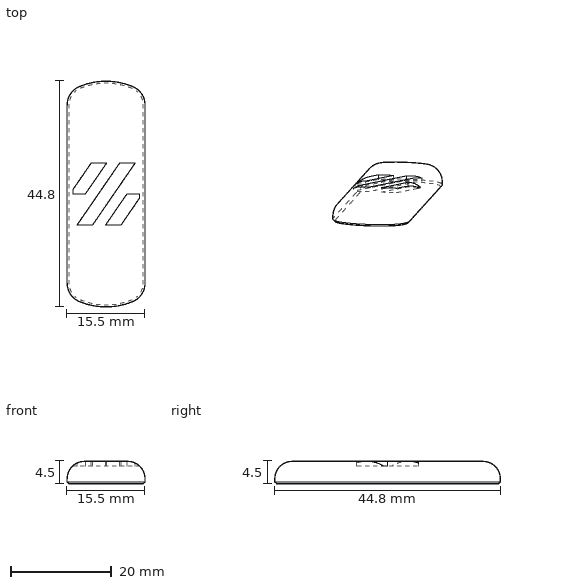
import cadquery as cq
import math

WIDTH = 15.5
LENGTH = 44.82
HEIGHT = 4.5

SIDE_LENGTH = 40.0
CORNER_RADIUS = 4.0
TOP_FILLET = 3.5
BOTTOM_CHAMFER = 0.4

RECESS_DEPTH = 0.9
BAR_WIDTH = 3.07
BAR_PITCH = 5.65
BAR_SPAN = 12.3
BAR_TILT = 34.5


def make_body():
    """Slab with bowed ends, rounded corners, a domed rim and a chamfered base."""
    half_width = WIDTH / 2
    half_side = SIDE_LENGTH / 2
    half_length = LENGTH / 2
    return (
        cq.Workplane("XY")
        .moveTo(-half_width, -half_side)
        .threePointArc((0, -half_length), (half_width, -half_side))
        .lineTo(half_width, half_side)
        .threePointArc((0, half_length), (-half_width, half_side))
        .close()
        .extrude(HEIGHT)
        .edges("|Z")
        .fillet(CORNER_RADIUS)
        .faces(">Z")
        .edges()
        .fillet(TOP_FILLET)
        .faces("<Z")
        .edges()
        .chamfer(BOTTOM_CHAMFER)
    )


def make_bar(axis_x, y_low, y_high):
    """Cutter for a slanted bar whose centre line crosses y = 0 at axis_x."""
    slope = math.tan(math.radians(BAR_TILT))
    low_x = axis_x + y_low * slope
    high_x = axis_x + y_high * slope
    half_bar = BAR_WIDTH / 2
    return (
        cq.Workplane("XY", origin=(0, 0, HEIGHT - RECESS_DEPTH))
        .polyline(
            [
                (low_x - half_bar, y_low),
                (low_x + half_bar, y_low),
                (high_x + half_bar, y_high),
                (high_x - half_bar, y_high),
            ]
        )
        .close()
        .extrude(RECESS_DEPTH)
    )


def cut_recesses(body):
    """Cut one full bar through the centre and a half bar on either side of it."""
    half_span = BAR_SPAN / 2
    bars = [
        (-BAR_PITCH, 0, half_span),
        (0, -half_span, half_span),
        (BAR_PITCH, -half_span, 0),
    ]
    for axis_x, y_low, y_high in bars:
        body = body.cut(make_bar(axis_x, y_low, y_high))
    return body


result = cut_recesses(make_body())